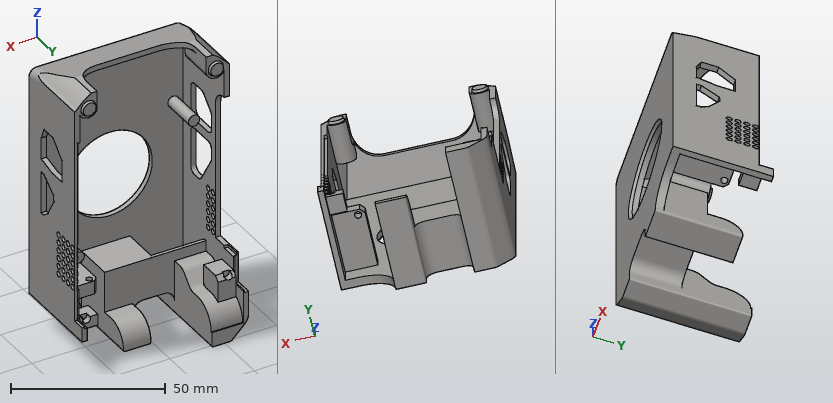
import cadquery as cq
import math


WIDTH = 58.0
DEPTH = 41.8
HEIGHT = 102.98
MARGIN = 5.0

FRONT_THICKNESS = 3.0
WALL = 2.0
REAR_Y = 29.5
TOP_TILT = 15.0
TOP_FRONT_Z = 97.9
TOP_EDGE_RADIUS = 3.0

LEFT_FACETS = [(0.0, 97.6), (0.77, 98.3), (2.15, 99.7), (3.1, 100.7), (4.6, 101.9), (6.24, HEIGHT)]
RIGHT_FACETS = [(0.0, 97.6), (0.9, 98.3), (2.15, 99.7), (3.5, 101.0), (5.1, 102.2), (6.24, HEIGHT)]
FACET_INSET = LEFT_FACETS[-1][0]

CORNER_CHAMFER = 6.5
CHAMFER_RADIUS = 5.0
FOOT_RADIUS = 2.0
SLOT_LEFT = 13.8
SLOT_RIGHT = 29.65
SLOT_TOP = 8.7
SLOT_RADIUS = 4.0
SLOT_FOOT_RADIUS = 0.6
SCOOP_RADIUS = 12.0
SCOOP_LEFT = 39.9
RIGHT_FOOT_Z = SCOOP_RADIUS

INLET_D = 32.0
INLET_CHAMFER = 1.0
INLET_X = 29.5
INLET_Z = 50.2

NOTCH_LEFT = 8.8
NOTCH_RIGHT = 49.6
NOTCH_Y = 14.0
NOTCH_RADIUS = 9.0
NOTCH_DROP = 18.0

BOSS_X = 5.15
BOSS_Z = 97.5
BOSS_FRONT_Y = 16.0
DISC_D = 5.6
DISC_TIP_D = 4.8
DISC_HEIGHT = 0.9

PIN_D = 4.2
PIN_END_Y = 16.3
PIN_CENTRES = [(5.6, 70.3), (48.8, 31.6)]

WALL_STEP_Z = 28.5
LEFT_RECESS_Y = 23.8
RECESS_TOP_Z = 85.3
LEFT_RECESS_RADIUS = 5.5
LEFT_STEP_Y = 35.1
LEFT_STEP_Z = 17.1
TONGUE_THICKNESS = 0.5
TONGUE_RISE = 0.7
TONGUE_REACH = 0.5
LEFT_LIP_THICKNESS = 0.6
LEFT_LIP_RISE = 1.0
RIGHT_STEP_Y = 34.3
RIGHT_STEP_Z = 17.5
RIGHT_LIP_THICKNESS = 1.0
RIGHT_LIP_Y = 28.3
RIGHT_LIP_LOWER_Y = 28.8

VENT_D = 2.0
VENT_PITCH = 3.0
VENT_COLUMNS = 4
VENT_ROWS = 6
VENT_FIRST_Y = 19.2
VENT_FIRST_Z = 29.8

WINDOW_RADIUS = 2.3
WINDOW_FRONT_Y = 8.0
WINDOW_REAR_Y = 21.3
LEFT_UPPER_WINDOW = [
    (WINDOW_FRONT_Y, 66.4), (WINDOW_REAR_Y, 66.4), (WINDOW_REAR_Y, 74.5),
    (15.6, 80.1), (WINDOW_FRONT_Y, 80.1),
]
LEFT_LOWER_WINDOW = [
    (WINDOW_FRONT_Y, 45.2), (14.0, 45.2), (WINDOW_REAR_Y, 56.7),
    (WINDOW_REAR_Y, 62.9), (WINDOW_FRONT_Y, 62.9),
]
RIGHT_UPPER_WINDOW = [
    (WINDOW_FRONT_Y, 67.9), (15.2, 66.3), (WINDOW_REAR_Y, 66.3), (WINDOW_REAR_Y, 74.5),
    (15.6, 80.1), (9.7, 80.1), (WINDOW_FRONT_Y, 75.9),
]
RIGHT_LOWER_WINDOW = [
    (WINDOW_FRONT_Y, 47.2), (9.6, 47.2), (12.2, 49.2), (16.1, 55.8),
    (15.8, 58.3), (9.7, 62.8), (WINDOW_FRONT_Y, 62.8),
]

DUCT_REAR_Y = 17.85
DUCT_RIGHT = 40.0
DUCT_TOP_Z = 24.0
OUTLET_RIGHT = 21.9
OUTLET_REAR_Y = 16.6
OUTLET_FLOOR_Z = 8.7
DEFLECTOR_LEFT = 12.6
DEFLECTOR_BEND_X = 15.6
DEFLECTOR_ANGLE = 64.0
DEFLECTOR_CROWN_ANGLE = 30.0

COLUMN_TOP_Z = 20.0
COLUMN_RAMP_START_Y = 21.2
COLUMN_RAMP_END_Y = 29.8
COLUMN_RAMP_ANGLE = 45.0
RAMP_UPPER_RADIUS = 3.9
RAMP_LOWER_RADIUS = 3.4
COLUMN_NOSE_START_Y = 32.6
COLUMN_REAR_STEP = 0.4

FOOT_NOSE_START_Y = 22.2
FOOT_REAR_Y = 29.9

EAR_LEFT = 45.2
EAR_REAR_Y = 22.8
EAR_TOP_Z = 25.6
EAR_THICKNESS = 5.0
EAR_CHAMFER = 1.5
EAR_HOLE_D = 2.25
EAR_HOLE_X = 47.6
EAR_HOLE_Y = 21.0

GROOVE_D = 2.8
GROOVE_LENGTH = 2.4
LEFT_BLOCK_RIGHT = 8.8
LEFT_BLOCK_FRONT_Y = 28.0
LEFT_BLOCK_REAR_Y = 37.2
LEFT_BLOCK_TOP_Z = 22.5
LEFT_BLOCK_CHAMFER = 1.7
LEFT_GROOVE_X = 4.6
RIGHT_BLOCK_LEFT = 50.3
RIGHT_BLOCK_FRONT_Y = 25.0
RIGHT_BLOCK_REAR_Y = 31.2
RIGHT_BLOCK_TOP_Z = 18.6
RIGHT_BLOCK_BOTTOM_Z = 14.4
RIGHT_GROOVE_X = 54.45


def box(x0, x1, y0, y1, z0, z1):
    return cq.Workplane("XY").box(x1 - x0, y1 - y0, z1 - z0, centered=False).translate((x0, y0, z0))


def along_y(y_start):
    """Sketch plane with local axes X and Z; a negative extrusion runs toward +Y."""
    return cq.Workplane("XZ", origin=(0, y_start, 0))


def along_x(x_start):
    """Sketch plane with local axes Y and Z; extrusion runs toward +X."""
    return cq.Workplane("YZ", origin=(x_start, 0, 0))


def rod(x, z, diameter, y0, y1):
    return along_y(y0).center(x, z).circle(diameter / 2).extrude(y0 - y1)


def slot_body():
    """Arched slot running through the full depth."""
    body = box(SLOT_LEFT, SLOT_RIGHT, -MARGIN, DEPTH + MARGIN, -MARGIN, SLOT_TOP)
    return body.edges("|Y and >Z").fillet(SLOT_RADIUS)


def outline_prism():
    """Front outline with its corners and lower scoop, run over the full depth."""
    right_corner = [(WIDTH - inset, z) for inset, z in reversed(RIGHT_FACETS)]
    mid_arc = SCOOP_RADIUS * math.sqrt(0.5)
    scoop_centre_x = SCOOP_LEFT + SCOOP_RADIUS
    prism = (
        along_y(0)
        .moveTo(CORNER_CHAMFER, 0)
        .lineTo(0, CORNER_CHAMFER)
        .polyline(LEFT_FACETS + right_corner, includeCurrent=True)
        .lineTo(WIDTH, RIGHT_FOOT_Z)
        .lineTo(scoop_centre_x, RIGHT_FOOT_Z)
        .threePointArc((scoop_centre_x - mid_arc, mid_arc), (SCOOP_LEFT, 0))
        .close()
        .extrude(-DEPTH)
    )
    prism = prism.cut(slot_body())
    roundings = [
        (0, CORNER_CHAMFER, CHAMFER_RADIUS),
        (CORNER_CHAMFER, 0, FOOT_RADIUS),
        (SLOT_LEFT, 0, SLOT_FOOT_RADIUS),
        (SLOT_RIGHT, 0, SLOT_FOOT_RADIUS),
        (SCOOP_LEFT, 0, SLOT_FOOT_RADIUS),
    ]
    for x, z, radius in roundings:
        corner = cq.selectors.NearestToPointSelector((x, DEPTH / 2, z))
        prism = prism.edges(corner).fillet(radius)
    return prism


def tilted_envelope(inset):
    """Space below the tilted top panel, set in by a wall thickness."""
    tall = 2 * HEIGHT
    body = box(inset, WIDTH - inset, -DEPTH, 3 * DEPTH, -tall, -inset)
    body = body.edges("|Y and >Z").fillet(TOP_EDGE_RADIUS - inset)
    return body.rotate((0, 0, 0), (1, 0, 0), TOP_TILT).translate((0, 0, TOP_FRONT_Z))


def shell():
    """Return the filled outer form and the hollow cover cut from it."""
    outer = outline_prism().intersect(tilted_envelope(0))
    upper = outer.intersect(box(0, WIDTH, 0, REAR_Y, -MARGIN, HEIGHT + MARGIN))
    cavity = box(WALL, WIDTH - WALL, FRONT_THICKNESS, DEPTH + MARGIN, -MARGIN, HEIGHT)
    ceiling_corners = [
        (WALL, -MARGIN),
        (WIDTH - WALL, -MARGIN),
        (WIDTH - WALL, TOP_FRONT_Z - WALL),
        (WIDTH - FACET_INSET, HEIGHT - WALL),
        (FACET_INSET, HEIGHT - WALL),
        (WALL, TOP_FRONT_Z - WALL),
    ]
    below_ceiling = along_y(0).polyline(ceiling_corners).close().extrude(-DEPTH - MARGIN)
    cavity = cavity.intersect(below_ceiling).intersect(tilted_envelope(WALL))
    return outer, upper.cut(cavity)


def corner_bosses(outer):
    """Rounded boss under each upper corner, backed by a conical locating disc."""
    bosses = cq.Workplane("XY")
    for x in (BOSS_X, WIDTH - BOSS_X):
        radius = NOTCH_LEFT - BOSS_X
        boss = rod(x, BOSS_Z, 2 * radius, BOSS_FRONT_Y, REAR_Y)
        boss = boss.union(box(x - radius, x + radius, BOSS_FRONT_Y, REAR_Y, BOSS_Z, HEIGHT))
        bosses = bosses.union(boss.intersect(outer))
    return bosses


def locating_discs():
    discs = cq.Workplane("XY")
    for x in (BOSS_X, WIDTH - BOSS_X):
        disc = (
            along_y(REAR_Y).center(x, BOSS_Z).circle(DISC_D / 2)
            .workplane(offset=-DISC_HEIGHT).circle(DISC_TIP_D / 2).loft()
        )
        discs = discs.union(disc)
    return discs


def top_notch():
    bottom_z = TOP_FRONT_Z - NOTCH_DROP
    body = box(NOTCH_LEFT, NOTCH_RIGHT, NOTCH_Y, DEPTH + MARGIN, bottom_z, HEIGHT + MARGIN)
    return body.edges("|Z and <Y").fillet(NOTCH_RADIUS)


def inlet():
    hole = rod(INLET_X, INLET_Z, INLET_D, -MARGIN, FRONT_THICKNESS + MARGIN)
    cone = (
        along_y(0).center(INLET_X, INLET_Z).circle(INLET_D / 2 + INLET_CHAMFER)
        .workplane(offset=-INLET_CHAMFER).circle(INLET_D / 2).loft()
    )
    return hole.union(cone)


def duct():
    """Blower outlet duct with the guide column and the foot on either side of the slot."""
    body = box(0, DUCT_RIGHT, 0, DUCT_REAR_Y, 0, DUCT_TOP_Z)
    outlet = box(WALL, OUTLET_RIGHT, FRONT_THICKNESS, OUTLET_REAR_Y, OUTLET_FLOOR_Z, DUCT_TOP_Z + MARGIN)
    body = body.cut(outlet.cut(deflector()))
    return body.union(guide_column()).union(foot())


def deflector():
    """Body in the outlet that turns the flow past the slot."""
    tilt = math.radians(DEFLECTOR_CROWN_ANGLE)
    radius = (OUTLET_RIGHT - DEFLECTOR_BEND_X) / math.sin(tilt)
    bend_z = OUTLET_FLOOR_Z + (DEFLECTOR_BEND_X - DEFLECTOR_LEFT) * math.tan(math.radians(DEFLECTOR_ANGLE))
    crown_z = bend_z + radius * (1 - math.cos(tilt))
    arc_middle = (OUTLET_RIGHT - radius * math.sin(tilt / 2), crown_z - radius * (1 - math.cos(tilt / 2)))
    return (
        along_y(0)
        .moveTo(DEFLECTOR_LEFT, OUTLET_FLOOR_Z)
        .lineTo(OUTLET_RIGHT, OUTLET_FLOOR_Z)
        .lineTo(OUTLET_RIGHT, crown_z)
        .threePointArc(arc_middle, (DEFLECTOR_BEND_X, bend_z))
        .close()
        .extrude(-DEPTH)
    )


def guide_column():
    half_bend = math.tan(math.radians(COLUMN_RAMP_ANGLE / 2))
    ramp_start_y = COLUMN_RAMP_START_Y + RAMP_UPPER_RADIUS * half_bend
    ramp_end_y = COLUMN_RAMP_END_Y - RAMP_LOWER_RADIUS * half_bend
    shelf_z = COLUMN_TOP_Z - (ramp_end_y - ramp_start_y) * math.tan(math.radians(COLUMN_RAMP_ANGLE))
    nose_end_y = DEPTH - COLUMN_REAR_STEP
    nose_radius = nose_end_y - COLUMN_NOSE_START_Y
    nose_end_z = shelf_z - nose_radius
    nose_mid = nose_radius * math.sqrt(0.5)
    nose_middle = (COLUMN_NOSE_START_Y + nose_mid, nose_end_z + nose_mid)
    column = (
        along_x(0)
        .moveTo(0, 0)
        .lineTo(DEPTH, 0)
        .lineTo(DEPTH, nose_end_z)
        .lineTo(nose_end_y, nose_end_z)
        .threePointArc(nose_middle, (COLUMN_NOSE_START_Y, shelf_z))
        .lineTo(ramp_end_y, shelf_z)
        .lineTo(ramp_start_y, COLUMN_TOP_Z)
        .lineTo(DUCT_REAR_Y, COLUMN_TOP_Z)
        .lineTo(DUCT_REAR_Y, OUTLET_FLOOR_Z)
        .lineTo(0, OUTLET_FLOOR_Z)
        .close()
        .extrude(SLOT_LEFT)
    )
    for y, z, radius in (
        (ramp_end_y, shelf_z, RAMP_LOWER_RADIUS),
        (ramp_start_y, COLUMN_TOP_Z, RAMP_UPPER_RADIUS),
    ):
        bend = cq.selectors.NearestToPointSelector((SLOT_LEFT / 2, y, z))
        column = column.edges(bend).fillet(radius)
    return column


def foot():
    """Block between slot and scoop whose top rounds off toward the rear."""
    body = box(SLOT_RIGHT, DUCT_RIGHT, 0, FOOT_REAR_Y, 0, SLOT_TOP)
    return body.edges("|X and >Y and >Z").fillet(FOOT_REAR_Y - FOOT_NOSE_START_Y)


def left_rear_wall():
    """Stepped rear extension of the left wall with a thin raised tongue inside."""
    split = WALL - TONGUE_THICKNESS

    def stepped(x0, x1, step_y, step_z):
        low = box(x0, x1, 0, DEPTH, 0, step_z)
        return low.union(box(x0, x1, 0, step_y, 0, WALL_STEP_Z))

    wall = stepped(0, split, LEFT_STEP_Y, LEFT_STEP_Z)
    tongue = stepped(split, WALL, LEFT_STEP_Y + TONGUE_REACH, LEFT_STEP_Z + TONGUE_RISE)
    lip_rebate = box(
        LEFT_LIP_THICKNESS, WALL, LEFT_RECESS_Y, DEPTH, WALL_STEP_Z - LEFT_LIP_RISE, WALL_STEP_Z
    )
    return wall.union(tongue).cut(lip_rebate)


def right_rear_wall():
    """Low rear extension of the right wall, its outer layer standing slightly higher."""
    inner_z = RIGHT_STEP_Z - TONGUE_RISE
    inner = box(WIDTH - WALL, WIDTH, 0, RIGHT_STEP_Y, RIGHT_FOOT_Z, inner_z)
    lip = box(WIDTH - RIGHT_LIP_THICKNESS, WIDTH, 0, RIGHT_STEP_Y, RIGHT_FOOT_Z, RIGHT_STEP_Z)
    return inner.union(lip)


def left_recess():
    body = box(-MARGIN, WALL, LEFT_RECESS_Y, DEPTH + MARGIN, WALL_STEP_Z, RECESS_TOP_Z)
    return body.edges("|X and >Z and <Y").fillet(LEFT_RECESS_RADIUS)


def right_lip_rebate():
    """Inner layer of the right wall cut back, leaving a thin outer lip."""
    inner_x = WIDTH - WALL
    lip_x = WIDTH - RIGHT_LIP_THICKNESS
    upper = box(inner_x, lip_x, RIGHT_LIP_Y, DEPTH, WALL_STEP_Z, RECESS_TOP_Z)
    lower = box(inner_x, lip_x, RIGHT_LIP_LOWER_Y, DEPTH, RIGHT_STEP_Z, WALL_STEP_Z)
    return upper.union(lower)


def window(corners, x):
    return along_x(x).polyline(corners).close().extrude(2 * WALL)


def rounded_window(corners, x):
    return window(corners, x).edges("|X").fillet(WINDOW_RADIUS)


def side_openings():
    left_x = -WALL / 2
    right_x = WIDTH - WALL - WALL / 2
    openings = rounded_window(LEFT_UPPER_WINDOW, left_x).union(rounded_window(LEFT_LOWER_WINDOW, left_x))
    openings = openings.union(window(RIGHT_UPPER_WINDOW, right_x))
    openings = openings.union(window(RIGHT_LOWER_WINDOW, right_x))
    centres = [
        (VENT_FIRST_Y + column * VENT_PITCH, VENT_FIRST_Z + row * VENT_PITCH)
        for column in range(VENT_COLUMNS)
        for row in range(VENT_ROWS)
    ]
    vents = along_x(-MARGIN).pushPoints(centres).circle(VENT_D / 2).extrude(WIDTH + 2 * MARGIN)
    return openings.union(vents)


def screw_ear():
    ear = box(EAR_LEFT, WIDTH - WALL, 0, EAR_REAR_Y, EAR_TOP_Z - EAR_THICKNESS, EAR_TOP_Z)
    ear = ear.edges("|Z and <X and >Y").chamfer(EAR_CHAMFER)
    hole = (
        cq.Workplane("XY").center(EAR_HOLE_X, EAR_HOLE_Y).circle(EAR_HOLE_D / 2).extrude(EAR_TOP_Z + MARGIN)
    )
    return ear.cut(hole)


def grooved(block, x, rear_y, top_z):
    """Cut a round groove along Y, open to the top and the rear of the block."""
    return block.cut(rod(x, top_z - GROOVE_D / 4, GROOVE_D, rear_y - GROOVE_LENGTH, rear_y + MARGIN))


def left_block():
    block = box(
        WALL, LEFT_BLOCK_RIGHT, LEFT_BLOCK_FRONT_Y, LEFT_BLOCK_REAR_Y, CORNER_CHAMFER, LEFT_BLOCK_TOP_Z
    )
    block = block.edges("|X and >Y and >Z").chamfer(LEFT_BLOCK_CHAMFER)
    return grooved(block, LEFT_GROOVE_X, LEFT_BLOCK_REAR_Y, LEFT_BLOCK_TOP_Z)


def right_block():
    block = box(
        RIGHT_BLOCK_LEFT, WIDTH - WALL, RIGHT_BLOCK_FRONT_Y, RIGHT_BLOCK_REAR_Y,
        RIGHT_BLOCK_BOTTOM_Z, RIGHT_BLOCK_TOP_Z,
    )
    return grooved(block, RIGHT_GROOVE_X, RIGHT_BLOCK_REAR_Y, RIGHT_BLOCK_TOP_Z)


def build():
    outer, body = shell()
    lower = duct().union(left_rear_wall()).union(right_rear_wall()).intersect(outline_prism())
    body = body.union(lower).union(corner_bosses(outer)).cut(top_notch())
    body = body.cut(left_recess()).cut(right_lip_rebate()).cut(side_openings()).cut(inlet())
    for x, z in PIN_CENTRES:
        body = body.union(rod(x, z, PIN_D, FRONT_THICKNESS / 2, PIN_END_Y))
    for feature in (locating_discs(), screw_ear(), left_block(), right_block()):
        body = body.union(feature)
    return body


result = build()